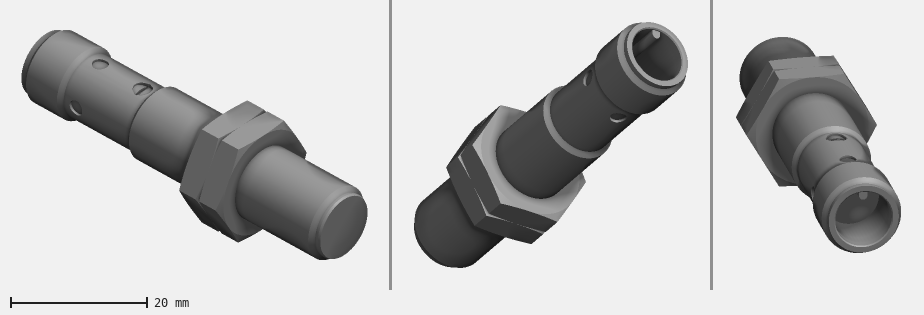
import cadquery as cq
import math

LENGTH = 59.85
BARREL_RADIUS = 6.0
NECK_RADIUS = 5.25
COLLAR_START = 0.9
SHOULDER_CHAMFER = 0.7
NECK_START = 8.5
NECK_END = 21.55
CAP_START = 58.95
CAP_CHAMFER_LENGTH = 0.35
CAP_CHAMFER_DROP = 0.2

SOCKET_RADIUS = 4.25
SOCKET_DEPTH = 9.0
SOCKET_CHAMFER = 0.2
KEY_WIDTH = 1.25
KEY_TIP_Z = 2.95
KEY_START = 0.35

WINDOW_FLOOR_RADIUS = 4.85
WINDOW_X = 10.95
WINDOW_RADIUS = 1.25
WINDOW_COUNT = 4
SCREW_X = 19.65
SCREW_Y = -0.2
SCREW_RADIUS = 1.5
SCREW_CROWN_RADIUS = 2.7
SCREW_TOP_Z = 4.95
SCREW_SLOT_WIDTH = 0.6
SCREW_SLOT_LENGTH = 3.2
SCREW_SLOT_FLOOR_Z = 4.4

NUT_START = 35.55
NUT_THICKNESS = 4.0
NUT_COUNT = 2
NUT_ACROSS_FLATS = 17.0
HEXAGON_SIDES = 6
NUT_ACROSS_CORNERS = NUT_ACROSS_FLATS / math.cos(math.pi / HEXAGON_SIDES)
NUT_CHAMFER_ANGLE = 15.0


def revolve_about_x(points):
    """Solid of revolution about the X axis from (x, radius) points."""
    return cq.Workplane("XY").polyline(points).close().revolve(360, (0, 0, 0), (1, 0, 0))


def make_barrel():
    return revolve_about_x([
        (0, 0),
        (0, NECK_RADIUS),
        (COLLAR_START, NECK_RADIUS),
        (COLLAR_START + SHOULDER_CHAMFER, BARREL_RADIUS),
        (NECK_START - SHOULDER_CHAMFER, BARREL_RADIUS),
        (NECK_START, NECK_RADIUS),
        (NECK_END, NECK_RADIUS),
        (NECK_END + SHOULDER_CHAMFER, BARREL_RADIUS),
        (CAP_START - SHOULDER_CHAMFER, BARREL_RADIUS),
        (CAP_START, NECK_RADIUS),
        (LENGTH - CAP_CHAMFER_LENGTH, NECK_RADIUS),
        (LENGTH, NECK_RADIUS - CAP_CHAMFER_DROP),
        (LENGTH, 0),
    ])


def make_socket():
    return revolve_about_x([
        (0, 0),
        (0, SOCKET_RADIUS + SOCKET_CHAMFER),
        (SOCKET_CHAMFER, SOCKET_RADIUS),
        (SOCKET_DEPTH, SOCKET_RADIUS),
        (SOCKET_DEPTH, 0),
    ])


def make_key():
    """Round-tipped rib from inside the socket mouth to the socket floor."""
    half_width = KEY_WIDTH / 2
    arc_center_z = KEY_TIP_Z + half_width
    root_z = (SOCKET_RADIUS + NECK_RADIUS) / 2
    return (
        cq.Workplane("YZ", origin=(KEY_START, 0, 0))
        .moveTo(-half_width, root_z)
        .lineTo(-half_width, arc_center_z)
        .threePointArc((0, KEY_TIP_Z), (half_width, arc_center_z))
        .lineTo(half_width, root_z)
        .close()
        .extrude(SOCKET_DEPTH - KEY_START)
    )


def make_round_recess(x, y, radius, floor_top_z, floor_radius):
    """Cutter for a round recess in the top of the neck, with a floor that is arched about X."""
    floor_center_z = floor_top_z - floor_radius
    plug = (
        cq.Workplane("XY", origin=(x, y, floor_center_z))
        .circle(radius)
        .extrude(BARREL_RADIUS - floor_center_z)
    )
    arch = cq.Workplane("YZ").center(y, floor_center_z).circle(floor_radius).extrude(LENGTH)
    return plug.cut(arch)


def make_screw_slot():
    return (
        cq.Workplane("XY", origin=(SCREW_X, SCREW_Y, SCREW_SLOT_FLOOR_Z))
        .rect(SCREW_SLOT_WIDTH, SCREW_SLOT_LENGTH)
        .extrude(BARREL_RADIUS - SCREW_SLOT_FLOOR_Z)
    )


def make_housing():
    housing = make_barrel().cut(make_socket()).union(make_key())
    window = make_round_recess(
        WINDOW_X, 0, WINDOW_RADIUS, floor_top_z=WINDOW_FLOOR_RADIUS, floor_radius=WINDOW_FLOOR_RADIUS
    )
    for i in range(WINDOW_COUNT):
        housing = housing.cut(window.rotate((0, 0, 0), (1, 0, 0), i * 360 / WINDOW_COUNT))
    screw_recess = make_round_recess(
        SCREW_X, SCREW_Y, SCREW_RADIUS, floor_top_z=SCREW_TOP_Z, floor_radius=SCREW_CROWN_RADIUS
    )
    housing = housing.cut(screw_recess)
    return housing.cut(make_screw_slot())


def make_nut(start_x):
    """Hexagon nut with flats at top and bottom and both faces chamfered down to the flats."""
    face_radius = NUT_ACROSS_FLATS / 2
    corner_radius = NUT_ACROSS_CORNERS / 2
    chamfer = (corner_radius - face_radius) * math.tan(math.radians(NUT_CHAMFER_ANGLE))
    hexagon = cq.Workplane("YZ").polygon(HEXAGON_SIDES, NUT_ACROSS_CORNERS).extrude(NUT_THICKNESS)
    envelope = revolve_about_x([
        (0, BARREL_RADIUS),
        (0, face_radius),
        (chamfer, corner_radius),
        (NUT_THICKNESS - chamfer, corner_radius),
        (NUT_THICKNESS, face_radius),
        (NUT_THICKNESS, BARREL_RADIUS),
    ])
    return hexagon.intersect(envelope).translate((start_x, 0, 0))


housing = make_housing()
nuts = [make_nut(NUT_START + i * NUT_THICKNESS) for i in range(NUT_COUNT)]

result = cq.Compound.makeCompound([housing.val(), *[nut.val() for nut in nuts]])